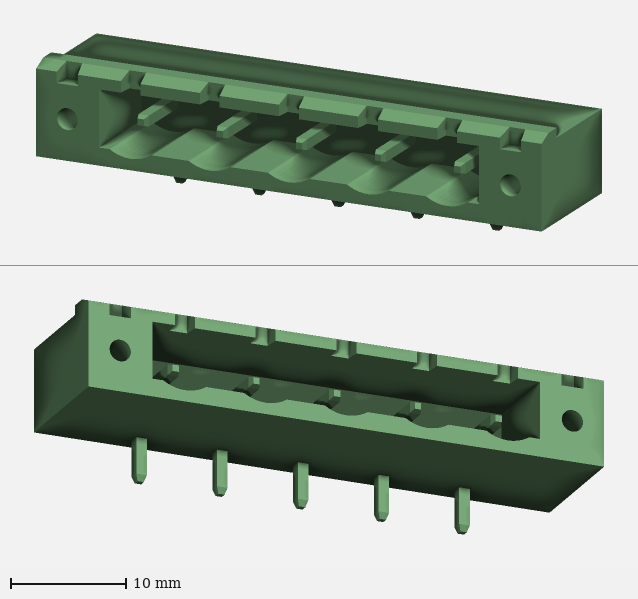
import cadquery as cq

PIN_COUNT = 5
PITCH = 7.62
END_MARGIN = 9.1

LENGTH = (PIN_COUNT - 1) * PITCH + 2 * END_MARGIN
DEPTH = 12.0
HEIGHT = 8.6
RIDGE_DEPTH = 3.0
RIDGE_HEIGHT = 0.9
BEVEL_DEPTH = 1.4
BEVEL_DROP = 0.6

CAVITY_SIDE = 3.05
CAVITY_LENGTH = (PIN_COUNT - 1) * PITCH + 2 * CAVITY_SIDE
CAVITY_DEPTH = 8.5
CAVITY_FLOOR = 1.65
CAVITY_CEILING = 6.95
TROUGH_RADIUS = 3.7
TROUGH_BOTTOM = 1.05

PIN_NOTCH_FRONT = 1.9
PIN_NOTCH_BACK = 1.6
END_NOTCH_FRONT = 2.05
END_NOTCH_BACK = 1.5

INSERT_INSET = 3.0
INSERT_DIAMETER = 4.0
INSERT_HOLE_DIAMETER = 2.0
INSERT_DEPTH = 8.0
CONTACT_Z = 3.8

PIN_SIZE = 1.0
PIN_TIP_SIZE = 0.6
PIN_TIP_LENGTH = 0.6
PIN_DROP = 4.0
PIN_BACK_INSET = 2.0
PIN_FRONT_INSET = 2.0

PIN_XS = [(i - (PIN_COUNT - 1) / 2) * PITCH for i in range(PIN_COUNT)]
INSERT_XS = [side * (LENGTH / 2 - INSERT_INSET) for side in (-1, 1)]


def housing_block():
    """Side profile with the raised, bevelled front ridge, extruded along X."""
    profile = [
        (0, 0),
        (DEPTH, 0),
        (DEPTH, HEIGHT - RIDGE_HEIGHT),
        (RIDGE_DEPTH, HEIGHT - RIDGE_HEIGHT),
        (RIDGE_DEPTH, HEIGHT),
        (BEVEL_DEPTH, HEIGHT),
        (0, HEIGHT - BEVEL_DROP),
    ]
    return cq.Workplane("YZ").polyline(profile).close().extrude(LENGTH / 2, both=True)


def plug_cavity():
    """Rectangular cavity with one shallow round trough under each pin."""
    cavity = cq.Workplane("XY").box(
        CAVITY_LENGTH, CAVITY_DEPTH, CAVITY_CEILING - CAVITY_FLOOR, centered=(True, False, False)
    )
    cavity = cavity.translate((0, 0, CAVITY_FLOOR))
    troughs = (
        cq.Workplane("XZ")
        .pushPoints([(x, TROUGH_BOTTOM + TROUGH_RADIUS) for x in PIN_XS])
        .circle(TROUGH_RADIUS)
        .extrude(-CAVITY_DEPTH)
    )
    below_ceiling = cq.Workplane("XY").box(
        CAVITY_LENGTH, CAVITY_DEPTH, CAVITY_CEILING, centered=(True, False, False)
    )
    return cavity.union(troughs.intersect(below_ceiling))


def notch(x, front_width, back_width):
    """Tapered notch from the front face to the top of the bevel, down to the cavity ceiling."""
    outline = [
        (x - front_width / 2, 0),
        (x + front_width / 2, 0),
        (x + back_width / 2, BEVEL_DEPTH),
        (x - back_width / 2, BEVEL_DEPTH),
    ]
    plane = cq.Workplane("XY").workplane(offset=CAVITY_CEILING)
    return plane.polyline(outline).close().extrude(HEIGHT - CAVITY_CEILING)


def front_cylinder(x, diameter):
    """Cylinder running into the housing from the front face at an insert position."""
    return cq.Workplane("XZ").center(x, CONTACT_Z).circle(diameter / 2).extrude(-INSERT_DEPTH)


def pin_leg(length):
    """Square leg along +Z with a tapered tip; the root end sits at z = 0."""
    shank_length = length - PIN_TIP_LENGTH
    shank = cq.Workplane("XY").rect(PIN_SIZE, PIN_SIZE).extrude(shank_length)
    tip = (
        cq.Workplane("XY")
        .workplane(offset=shank_length)
        .rect(PIN_SIZE, PIN_SIZE)
        .workplane(offset=PIN_TIP_LENGTH)
        .rect(PIN_TIP_SIZE, PIN_TIP_SIZE)
        .loft(ruled=True)
    )
    return shank.union(tip)


def contact_pin(x):
    """L-shaped pin: one leg forward into the cavity, one leg down below the housing."""
    bend_y = DEPTH - PIN_BACK_INSET
    forward = pin_leg(bend_y - PIN_FRONT_INSET).rotate((0, 0, 0), (1, 0, 0), 90)
    down = pin_leg(CONTACT_Z + PIN_DROP).rotate((0, 0, 0), (1, 0, 0), 180)
    return forward.union(down).translate((x, bend_y, CONTACT_Z))


result = housing_block().cut(plug_cavity())
for pin_x in PIN_XS:
    result = result.cut(notch(pin_x, PIN_NOTCH_FRONT, PIN_NOTCH_BACK))
    result = result.union(contact_pin(pin_x))

for insert_x in INSERT_XS:
    result = result.cut(notch(insert_x, END_NOTCH_FRONT, END_NOTCH_BACK))

for insert_x in INSERT_XS:
    insert = front_cylinder(insert_x, INSERT_DIAMETER)
    result = result.cut(insert, clean=False).union(insert, clean=False)
    result = result.cut(front_cylinder(insert_x, INSERT_HOLE_DIAMETER), clean=False)